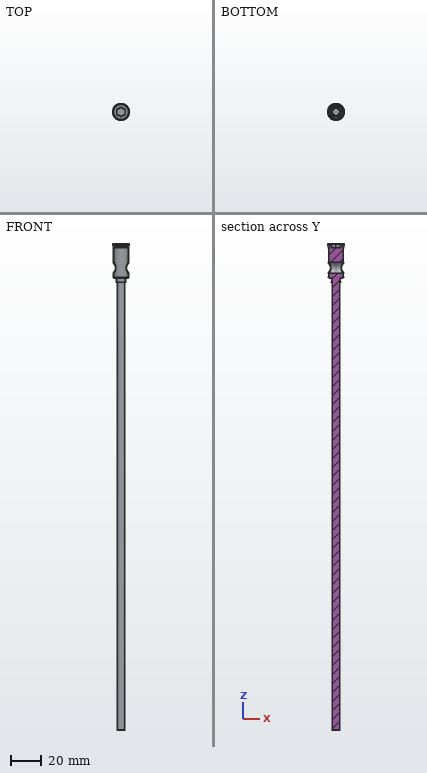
import cadquery as cq
import math

total_length = 322.5

rod_diameter = 5.0

body_diameter = 10.0
body_chamfer = 0.8
body_top_depth = 2.0
body_bottom_depth = 23.0
body_end_diameter = body_diameter - 2 * body_chamfer

rim_diameter = 11.0
rim_flat_diameter = 10.0
rim_bevel_depth = 0.2
rim_bottom_depth = 1.4

collar_diameter = 6.0
collar_bottom_depth = 25.5

cross_hole_diameter = 7.0
cross_hole_depth = 16.0

socket_across_flats = 5.5
socket_depth = 2.5


def make_turned_part():
    """Rod, collar, body, neck and rim as one profile revolved about Z."""
    outline = [
        (0, total_length),
        (rod_diameter, total_length),
        (rod_diameter, collar_bottom_depth),
        (collar_diameter, collar_bottom_depth),
        (collar_diameter, body_bottom_depth),
        (body_end_diameter, body_bottom_depth),
        (body_diameter, body_bottom_depth - body_chamfer),
        (body_diameter, body_top_depth + body_chamfer),
        (body_end_diameter, body_top_depth),
        (body_end_diameter, rim_bottom_depth),
        (rim_diameter, rim_bottom_depth),
        (rim_diameter, rim_bevel_depth),
        (rim_flat_diameter, 0),
        (0, 0),
    ]
    points = [(diameter / 2, total_length - depth) for diameter, depth in outline]
    profile = cq.Workplane("XZ").polyline(points).close()
    return profile.revolve(360, (0, 0, 0), (0, 1, 0))


def make_cross_hole():
    """Cutter for the round hole through the head along X."""
    center_z = total_length - cross_hole_depth
    profile = cq.Workplane("YZ").center(0, center_z).circle(cross_hole_diameter / 2)
    return profile.extrude(body_diameter, both=True)


def make_socket():
    """Cutter for the hexagonal socket."""
    across_corners = socket_across_flats / math.cos(math.pi / 6)
    floor = cq.Workplane("XY").workplane(offset=total_length - socket_depth)
    corners_along_y = floor.transformed(rotate=(0, 0, 90))
    return corners_along_y.polygon(6, across_corners).extrude(socket_depth)


result = make_turned_part().cut(make_cross_hole()).cut(make_socket())